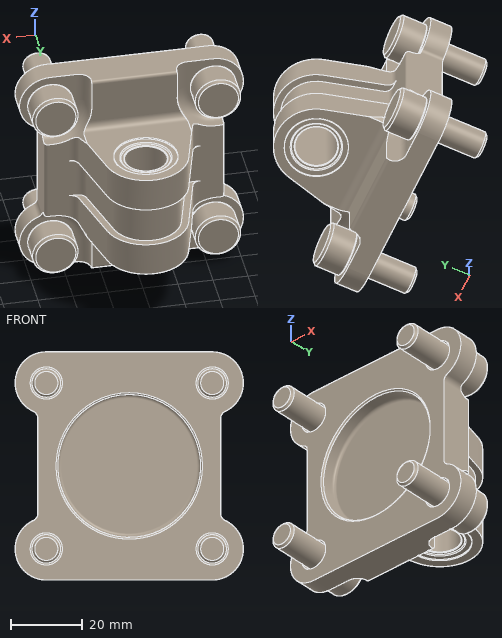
import cadquery as cq
import math

plate_size = 64.0
plate_height = 11.0
flange_height = 6.5
waist_half_width = 25.65
waist_fillet = 2.0
lobe_radius = 8.8
bolt_offset = plate_size / 2 - lobe_radius
bolt_places = [(x, z) for x in (-bolt_offset, bolt_offset) for z in (-bolt_offset, bolt_offset)]
bolt_hole_diameter = 9.0
top_edge_round = 1.0

pocket_radius = 11.0
pocket_floor_fillet = 3.5
pocket_overrun = 6.4
pocket_height = 25.6

recess_diameter = 40.0
recess_depth = 5.0
recess_chamfer = 0.5
recess_floor_fillet = 1.0

eye_height = 27.0
eye_radius = 12.0
web_eye_radius = 10.0
lug_half_length = 16.0
web_half_length = 5.95
lug_taper = math.radians(15)
lug_foot_fillet = 2.5

bore_diameter = 12.0
bore_chamfer = 0.2
bush_seat_diameter = 14.0
bush_seat_chamfer = 0.3
spot_face_diameter = 18.0
spot_face_depth = 0.45

shank_diameter = 8.0
shank_length = 20.0
head_diameter = 13.0
head_height = 8.0
bolt_chamfer = 0.8
head_base_chamfer = 0.25


def make_plate():
    """Square plate with a lobe at each corner and a narrow waist between the lobes."""
    half = plate_size / 2
    centre_gap = lobe_radius + waist_fillet
    fillet_x = waist_half_width + waist_fillet
    fillet_z = bolt_offset - math.sqrt(centre_gap**2 - (fillet_x - bolt_offset) ** 2)
    lobe_share = lobe_radius / centre_gap
    join_x = bolt_offset + (fillet_x - bolt_offset) * lobe_share
    join_z = bolt_offset + (fillet_z - bolt_offset) * lobe_share
    bend = (math.pi + math.atan2(join_z - fillet_z, join_x - fillet_x)) / 2
    bend_x = fillet_x + waist_fillet * math.cos(bend)
    bend_z = fillet_z + waist_fillet * math.sin(bend)

    plate = (
        cq.Workplane("XZ")
        .moveTo(0, half)
        .lineTo(bolt_offset, half)
        .threePointArc((half, bolt_offset), (join_x, join_z))
        .threePointArc((bend_x, bend_z), (waist_half_width, fillet_z))
        .lineTo(waist_half_width, -fillet_z)
        .threePointArc((bend_x, -bend_z), (join_x, -join_z))
        .threePointArc((half, -bolt_offset), (bolt_offset, -half))
        .lineTo(0, -half)
        .mirrorY()
        .extrude(-plate_height)
    )
    return plate.faces(">Y").edges().fillet(top_edge_round)


def make_lug_slice(radius, half_length):
    """Tapered lug with a round top, flared by a fillet where it meets the plate."""
    cos_t = math.cos(lug_taper)
    sin_t = math.sin(lug_taper)
    top_x = radius * cos_t
    top_y = eye_height + radius * sin_t
    flare_y = plate_height + lug_foot_fillet
    flare_x = (radius + lug_foot_fillet - (flare_y - eye_height) * sin_t) / cos_t
    wall_x = flare_x - lug_foot_fillet * cos_t
    wall_y = flare_y - lug_foot_fillet * sin_t
    bend = (math.pi + lug_taper + 1.5 * math.pi) / 2
    bend_x = flare_x + lug_foot_fillet * math.cos(bend)
    bend_y = flare_y + lug_foot_fillet * math.sin(bend)
    return (
        cq.Workplane("XY", origin=(0, 0, -half_length))
        .moveTo(flare_x, plate_height)
        .threePointArc((bend_x, bend_y), (wall_x, wall_y))
        .lineTo(top_x, top_y)
        .threePointArc((0, eye_height + radius), (-top_x, top_y))
        .lineTo(-wall_x, wall_y)
        .threePointArc((-bend_x, bend_y), (-flare_x, plate_height))
        .close()
        .extrude(2 * half_length)
    )


def make_end_flares():
    """Fillets between the plate and the two end faces of the lug, as wide as the lug."""
    flare_top = plate_height + lug_foot_fillet
    flare_end = lug_half_length + lug_foot_fillet
    inset = lug_foot_fillet * math.sqrt(0.5)
    half_width = (eye_radius + (eye_height - flare_top) * math.sin(lug_taper)) / math.cos(lug_taper)
    flare = (
        cq.Workplane("YZ", origin=(-half_width, 0, 0))
        .moveTo(plate_height, lug_half_length)
        .lineTo(plate_height, flare_end)
        .threePointArc((flare_top - inset, flare_end - inset), (flare_top, lug_half_length))
        .close()
        .extrude(2 * half_width)
    )
    return flare.union(flare.mirror("XY"))


def make_lug():
    """Lug with its middle replaced by the web, which stands in from the cheeks all round."""
    full_lug = make_lug_slice(eye_radius, lug_half_length)
    middle_gap = cq.Workplane("XY").box(plate_size, 2 * plate_size, 2 * web_half_length)
    web = make_lug_slice(web_eye_radius, web_half_length)
    cheeks = full_lug.cut(middle_gap)
    return cheeks.union(web)


def make_head_pocket(side_x, side_z):
    """Corner cutter with a round inner corner and a filleted floor, open to the outside."""
    inner = bolt_offset - pocket_radius
    size = plate_size / 2 + pocket_overrun - inner
    middle = inner + size / 2
    pocket = (
        cq.Workplane("XZ", origin=(side_x * middle, flange_height, side_z * middle))
        .rect(size, size)
        .extrude(-pocket_height)
    )
    inner_x = "<X" if side_x > 0 else ">X"
    inner_z = "<Z" if side_z > 0 else ">Z"
    pocket = pocket.edges(f"({inner_x}) and ({inner_z})").fillet(pocket_radius)
    return pocket.faces("<Y").edges().fillet(pocket_floor_fillet)


def make_recess():
    """Cutter for the round recess, with a filleted floor and a chamfered rim."""
    recess = (
        cq.Workplane("XZ")
        .circle(recess_diameter / 2)
        .extrude(-recess_depth)
        .faces(">Y")
        .edges()
        .fillet(recess_floor_fillet)
    )
    radius = recess_diameter / 2
    rim = cq.Solid.makeCone(
        radius + recess_chamfer, radius, recess_chamfer, cq.Vector(0, 0, 0), cq.Vector(0, 1, 0)
    )
    return recess.union(cq.Workplane(rim))


def make_bore():
    """Bore along Z: from each end a spot face, a chamfered bush seat, then the bore's own chamfer."""
    bore_radius = bore_diameter / 2
    seat_radius = bush_seat_diameter / 2
    spot_level = lug_half_length - spot_face_depth
    seat_level = spot_level - bush_seat_chamfer
    half_profile = (
        cq.Workplane("XZ")
        .moveTo(0, 0)
        .lineTo(bore_radius, 0)
        .lineTo(bore_radius, seat_level - bore_chamfer)
        .lineTo(bore_radius + bore_chamfer, seat_level)
        .lineTo(seat_radius, seat_level)
        .lineTo(seat_radius + bush_seat_chamfer, spot_level)
        .lineTo(spot_face_diameter / 2, spot_level)
        .lineTo(spot_face_diameter / 2, lug_half_length)
        .lineTo(0, lug_half_length)
        .close()
    )
    upper = half_profile.revolve(360, (0, 0, 0), (0, 1, 0))
    return upper.union(upper.mirror("XY")).translate((0, eye_height, 0))


def make_housing():
    """Plate and lug in one piece, with the head pockets, bolt holes, recess and bore cut out."""
    housing = make_plate().union(make_lug()).union(make_end_flares())
    for side_x in (-1, 1):
        for side_z in (-1, 1):
            housing = housing.cut(make_head_pocket(side_x, side_z))
    holes = (
        cq.Workplane("XZ")
        .pushPoints(bolt_places)
        .circle(bolt_hole_diameter / 2)
        .extrude(-plate_height)
    )
    return housing.cut(holes).cut(make_recess()).cut(make_bore())


def make_bolt(x, z):
    """Bolt along Y with its head seated on the flange."""
    seat = cq.Workplane("XZ", origin=(x, flange_height, z))
    head = seat.circle(head_diameter / 2).extrude(-head_height)
    head = head.faces(">Y").edges().chamfer(bolt_chamfer)
    head = head.faces("<Y").edges().chamfer(head_base_chamfer)
    shank = seat.circle(shank_diameter / 2).extrude(shank_length)
    shank = shank.faces("<Y").edges().chamfer(bolt_chamfer)
    return head.union(shank)


housing = make_housing()
bolts = [make_bolt(x, z) for x, z in bolt_places]

result = cq.Compound.makeCompound([housing.val(), *[bolt.val() for bolt in bolts]])